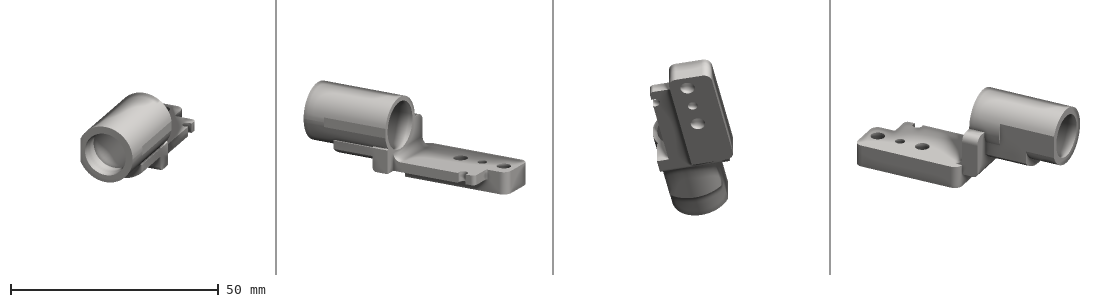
import cadquery as cq

total_width = 20.2
total_length = 50.8
total_height = 21.1
tube_length = 22.6
plate_length = total_length - tube_length

plate_width = 16.2
plate_height = 5.7
thick_width = 10.5
ledge_bottom = 3.2
shoulder_y = 22.5
corner_radius = 2.0
shoulder_radius = 1.0
inner_radius = 0.5
hole_x = 6.25
hole_y = 18.95
hole_pitch = 6.0
large_hole = 3.5
small_hole = 2.4
edge_hole_x = 15.55

tube_radius = 14.5 / 2
tube_x = total_width - tube_radius
tube_z = total_height - tube_radius
lip_bore = 10.8
main_bore = 12.1
lip_length = 5.0
full_front_length = 5.65
left_flat_x = 6.35
left_flat_start = 8.1
right_flat_x = 20.1

lug_left = corner_radius
lug_right = 19.1
lug_depth = 4.1
lug_right_top = 9.25
lug_foot_radius = 1.0
saddle_radius = 9.1
saddle_length = 15.0


def box(x0, x1, y0, y1, z0, z1):
    """Return a box between the given limits."""
    return cq.Workplane("XY").box(x1 - x0, y1 - y0, z1 - z0, centered=False).translate((x0, y0, z0))


def tube_cylinder(radius, length):
    """Return a cylinder on the tube axis, running forward from the rear end."""
    return (
        cq.Workplane("XZ", origin=(tube_x, 0, tube_z))
        .circle(radius)
        .extrude(length)
    )


def make_plate():
    plate = box(0, thick_width, 0, plate_length, 0, plate_height)
    plate = plate.union(box(0, plate_width, 0, shoulder_y, 0, plate_height))
    outer_corners = [(0, 0), (0, plate_length), (thick_width, plate_length)]
    rounded = [(x, y, corner_radius) for x, y in outer_corners]
    rounded.append((thick_width, shoulder_y, inner_radius))
    rounded.append((plate_width, shoulder_y, shoulder_radius))
    for x, y, radius in rounded:
        edge = cq.selectors.NearestToPointSelector((x, y, plate_height / 2))
        plate = plate.edges("|Z").edges(edge).fillet(radius)
    plate = plate.cut(box(thick_width, plate_width, 0, plate_length, 0, ledge_bottom))
    holes = [
        (hole_x, hole_y - hole_pitch, large_hole),
        (hole_x, hole_y, small_hole),
        (hole_x, hole_y + hole_pitch, large_hole),
        (edge_hole_x, hole_y, small_hole),
    ]
    for x, y, diameter in holes:
        plate = plate.cut(cq.Workplane("XY").center(x, y).circle(diameter / 2).extrude(plate_height))
    return plate


def make_lug():
    lug = (
        cq.Workplane("XZ")
        .moveTo(lug_left, ledge_bottom)
        .lineTo(lug_right, ledge_bottom)
        .lineTo(lug_right, lug_right_top)
        .lineTo(tube_x, lug_right_top + lug_right - tube_x)
        .lineTo(tube_x, tube_z)
        .lineTo(lug_left + corner_radius, tube_z)
        .radiusArc((lug_left, tube_z - corner_radius), -corner_radius)
        .close()
        .extrude(lug_depth)
    )
    return lug.faces("<Z").edges("<Y").fillet(lug_foot_radius)


def make_root_fillet():
    """Concave fillet between the plate top and the rear of the lug."""
    return (
        cq.Workplane("YZ", origin=(lug_left, 0, plate_height))
        .lineTo(corner_radius, 0)
        .radiusArc((0, corner_radius), corner_radius)
        .close()
        .extrude(plate_width - lug_left)
    )


def make_saddle():
    limits = box(left_flat_x, lug_right, -saddle_length, 0, 0, tube_z)
    corner = box(tube_x + tube_radius / 2, lug_right, -saddle_length, 0, lug_right_top, tube_z)
    return tube_cylinder(saddle_radius, saddle_length).intersect(limits).cut(corner)


def make_tube():
    tube = tube_cylinder(tube_radius, tube_length)
    left_side = box(0, left_flat_x, -tube_length, -left_flat_start, 0, 2 * tube_z)
    right_side = box(right_flat_x, 2 * tube_x, full_front_length - tube_length, 0, 0, 2 * tube_z)
    return tube.cut(left_side).cut(right_side)


result = make_plate().union(make_lug()).union(make_root_fillet())
result = result.union(make_saddle()).union(make_tube())
result = result.cut(tube_cylinder(main_bore / 2, tube_length - lip_length))
result = result.cut(tube_cylinder(lip_bore / 2, tube_length))